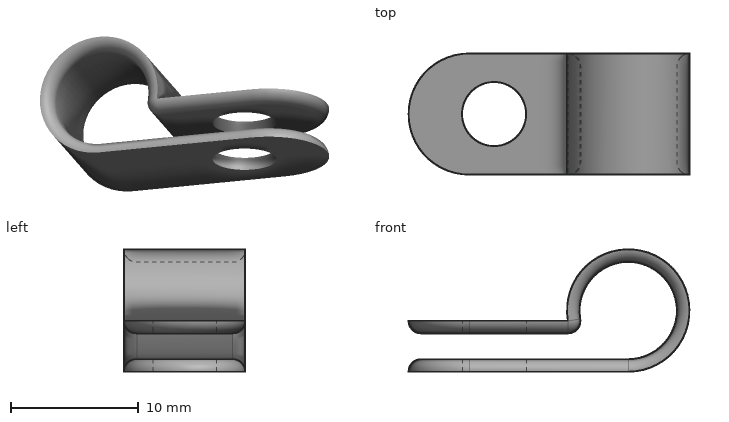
import math

import cadquery as cq

strip_width = 9.5
strip_thickness = 1.0

overall_length = 22.0
loop_outer_radius = 4.8
tab_gap = 2.0
hole_diameter = 5.0
hole_x = 6.7

half_width = strip_width / 2
flat_half_width = half_width - strip_thickness
end_center_x = half_width
loop_center_x = overall_length - loop_outer_radius
loop_center_z = loop_outer_radius
upper_tab_top = 2 * strip_thickness + tab_gap

knee_angle = math.degrees(math.asin((loop_center_z - upper_tab_top) / loop_outer_radius))
knee_x = loop_center_x - loop_outer_radius * math.cos(math.radians(knee_angle))
loop_sweep = 270 + knee_angle
knee_sweep = 90 + knee_angle

arc_offset = strip_thickness * math.sqrt(0.5)


def section_plane(x, outer_z, inward):
    """Plane across the strip: local X runs across it, local Y from outer to inner face."""
    return cq.Plane(origin=(x, 0, outer_z), xDir=(0, inward, 0), normal=(1, 0, 0))


def strip_section(plane):
    """Full cross section of the strip."""
    return (
        cq.Workplane(plane)
        .moveTo(-half_width, 0)
        .lineTo(half_width, 0)
        .threePointArc((flat_half_width + arc_offset, arc_offset), (flat_half_width, strip_thickness))
        .lineTo(-flat_half_width, strip_thickness)
        .threePointArc((-flat_half_width - arc_offset, arc_offset), (-half_width, 0))
        .close()
    )


def half_section(plane):
    """One half of the cross section, from the center line to one edge."""
    return (
        cq.Workplane(plane)
        .lineTo(half_width, 0)
        .threePointArc((flat_half_width + arc_offset, arc_offset), (flat_half_width, strip_thickness))
        .lineTo(0, strip_thickness)
        .close()
    )


def tab(outer_z, inward, end_x):
    """Straight tab with a round end; inward is +1 or -1, the Z direction of the inner face."""
    plane = section_plane(end_center_x, outer_z, inward)
    straight = strip_section(plane).extrude(end_x - end_center_x)
    round_end = half_section(plane).revolve(180, (0, 0), (0, 1))
    return straight.union(round_end)


def loop():
    """Cable loop, from the end of the lower tab around to the knee."""
    plane = section_plane(loop_center_x, 0, 1)
    return strip_section(plane).revolve(loop_sweep, (0, loop_center_z), (-1, loop_center_z))


def knee():
    """Rounded bend about the outer corner, joining the upper tab to the loop."""
    plane = section_plane(knee_x, upper_tab_top, -1)
    return strip_section(plane).revolve(knee_sweep, (0, 0), (1, 0))


def screw_hole():
    """Hole through both tabs."""
    return cq.Workplane("XY").center(hole_x, 0).circle(hole_diameter / 2).extrude(upper_tab_top)


lower_tab = tab(0, 1, loop_center_x)
upper_tab = tab(upper_tab_top, -1, knee_x)
result = lower_tab.union(loop()).union(knee()).union(upper_tab).cut(screw_hole())